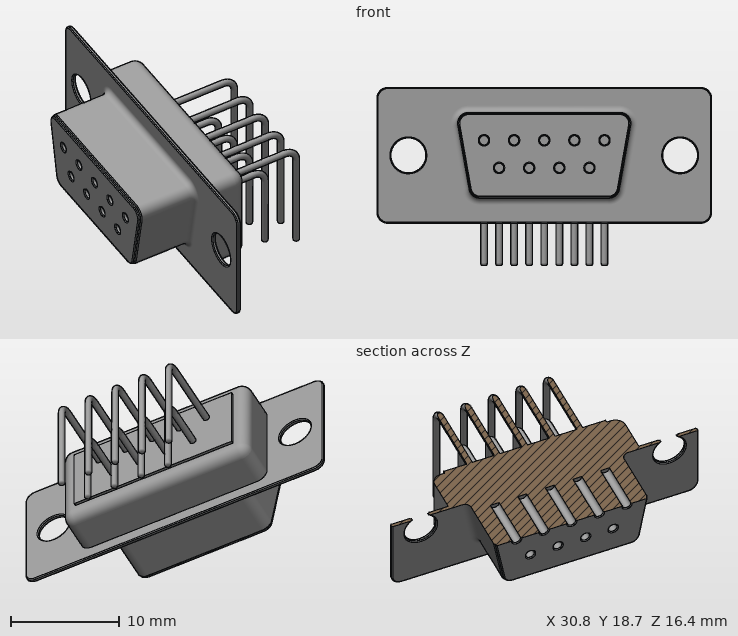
import cadquery as cq
import math


flange_width = 30.8
flange_height = 12.5
flange_thickness = 0.4
flange_corner_radius = 1.0
flange_edge_chamfer = 0.1
mounting_hole_diameter = 3.2
mounting_hole_spacing = 25.0

shell_top_width = 16.33
shell_height = 7.9
shell_length = 5.85
shell_side_angle = 10.0
shell_corner_radius = 1.0
shell_root_radius = 0.6
rim_chamfer = 0.1

face_protrusion = 0.25

housing_width = 19.2
housing_height = 9.92
housing_depth = 4.03
housing_edge_radius = 1.03
pad_width = 16.3
pad_height = 7.0
pad_thickness = 0.25

contact_pitch = 2.77
row_spacing = 2.54
upper_row_count = 5
lower_row_count = 4
socket_row_offset = 0.12
socket_diameter = 0.85
socket_depth = 5.0
socket_chamfer = 0.1

pin_diameter = 0.64
pin_bend_radius = 2 * pin_diameter
pin_tip_z = -10.15
pin_tip_radius = 0.22
overall_depth = 18.66

mating_face_y = -(shell_length + face_protrusion)
pin_back_y = mating_face_y + overall_depth
housing_back_y = flange_thickness + housing_depth
upper_row_z = row_spacing / 2
lower_row_z = -row_spacing / 2
upper_leg_y = pin_back_y - pin_diameter / 2
lower_leg_y = upper_leg_y - row_spacing


def block(width, depth, height, front_y):
    """Box centred on the Y axis with its front face at front_y."""
    return cq.Workplane("XY").box(width, depth, height).translate((0, front_y + depth / 2, 0))


def row_positions(count):
    """X positions of a centred row of contacts."""
    return [(i - (count - 1) / 2) * contact_pitch for i in range(count)]


def make_flange():
    flange = block(flange_width, flange_thickness, flange_height, 0)
    flange = flange.edges("|Y").fillet(flange_corner_radius)
    half_spacing = mounting_hole_spacing / 2
    flange = (
        flange.faces("<Y").workplane(origin=(0, 0, 0))
        .pushPoints([(-half_spacing, 0), (half_spacing, 0)])
        .hole(mounting_hole_diameter)
    )
    return flange.faces("<Y or >Y").edges().chamfer(flange_edge_chamfer)


def make_housing():
    housing = block(housing_width, housing_depth, housing_height, flange_thickness)
    housing = housing.edges("|Y").fillet(housing_edge_radius)
    housing = housing.faces(">Y").edges().fillet(housing_edge_radius)
    return housing.union(block(pad_width, pad_thickness, pad_height, housing_back_y))


def d_prism(inset, length, front_y):
    """D-shaped prism ending at front_y, inset evenly from the shell outline."""
    angle = math.radians(shell_side_angle)
    half_height = shell_height / 2 - inset
    half_middle = (shell_top_width - shell_height * math.tan(angle)) / 2 - inset / math.cos(angle)
    half_top = half_middle + half_height * math.tan(angle)
    half_bottom = half_middle - half_height * math.tan(angle)
    prism = (
        cq.Workplane("XZ", origin=(0, front_y + length, 0))
        .polyline([
            (-half_top, half_height),
            (half_top, half_height),
            (half_bottom, -half_height),
            (-half_bottom, -half_height),
        ])
        .close()
        .extrude(length)
        .edges("|Y").fillet(shell_corner_radius - inset)
    )
    return prism.faces("<Y").edges().chamfer(rim_chamfer)


def add_shell(flange):
    """Join the mating shell to the flange with a flared root."""
    shell = d_prism(0, shell_length, -shell_length)
    tolerance = 0.01
    root = cq.selectors.BoxSelector(
        (-shell_top_width / 2, -tolerance, -shell_height / 2),
        (shell_top_width / 2, tolerance, shell_height / 2),
    )
    return flange.union(shell).edges(root).fillet(shell_root_radius)


def make_insulator_face():
    return d_prism(rim_chamfer, face_protrusion, mating_face_y)


def make_pin(x, row_z, leg_y):
    """Round pin running back from the housing, then bent down to its tip."""
    path = (
        cq.Workplane("YZ", origin=(x, 0, 0))
        .moveTo(housing_back_y, row_z)
        .lineTo(leg_y - pin_bend_radius, row_z)
        .tangentArcPoint((pin_bend_radius, -pin_bend_radius))
        .lineTo(leg_y, pin_tip_z)
    )
    section = cq.Workplane("XZ", origin=(x, housing_back_y, row_z)).circle(pin_diameter / 2)
    return section.sweep(path).faces("<Z").edges().fillet(pin_tip_radius)


def make_socket(x, row_z):
    """Blind contact hole with a chamfered mouth, as a solid to cut away."""
    radius = socket_diameter / 2
    mouth = radius + socket_chamfer
    return (
        cq.Workplane("XY")
        .polyline([
            (0, 0),
            (mouth, 0),
            (radius, socket_chamfer),
            (radius, socket_depth),
            (0, socket_depth),
        ])
        .close()
        .revolve(360, (0, 0), (0, 1))
        .translate((x, mating_face_y, row_z))
    )


result = add_shell(make_flange()).union(make_housing()).union(make_insulator_face())
contact_rows = [
    (upper_row_count, upper_row_z, upper_leg_y),
    (lower_row_count, lower_row_z, lower_leg_y),
]
for count, row_z, leg_y in contact_rows:
    for x in row_positions(count):
        result = result.union(make_pin(x, row_z, leg_y))
        result = result.cut(make_socket(x, row_z + socket_row_offset))